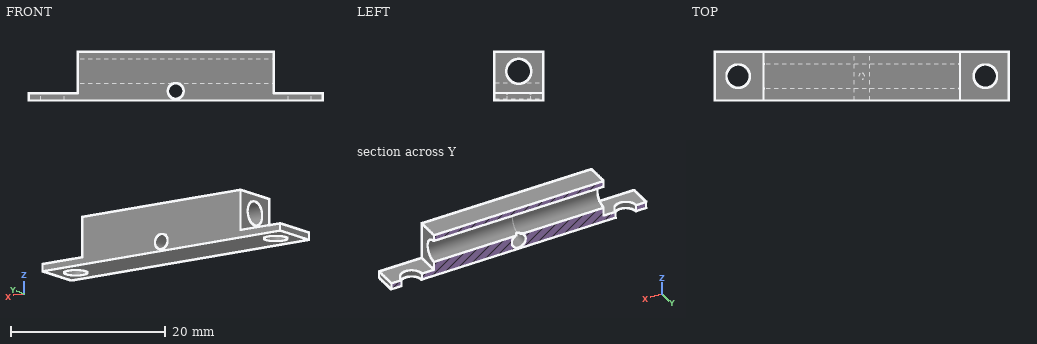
import cadquery as cq

length = 38.1
width = 6.35
height = 6.35

tab_length = 6.35
tab_thickness = 1.0
block_length = length - 2 * tab_length

mount_diameter = 3.0
mount_end_distance = 3.05
mount_spacing = length - 2 * mount_end_distance

bore_diameter = 3.2
bore_height = 3.8

cross_diameter = 2.02
cross_height = 1.25


def make_body():
    """Flat base strip with the block standing on its middle."""
    on_floor = (True, True, False)
    strip = cq.Workplane("XY").box(length, width, tab_thickness, centered=on_floor)
    block = cq.Workplane("XY").box(block_length, width, height, centered=on_floor)
    return strip.union(block)


def make_mount_holes():
    """Vertical cutters, one centred across each tab."""
    centers = [(-mount_spacing / 2, 0), (mount_spacing / 2, 0)]
    return cq.Workplane("XY").pushPoints(centers).circle(mount_diameter / 2).extrude(tab_thickness)


def make_bore():
    """Cutter along X through both end faces of the block."""
    profile = cq.Workplane("YZ").center(0, bore_height).circle(bore_diameter / 2)
    return profile.extrude(block_length / 2, both=True)


def make_cross_hole():
    """Cutter along Y through both side faces of the block."""
    profile = cq.Workplane("XZ").center(0, cross_height).circle(cross_diameter / 2)
    return profile.extrude(width / 2, both=True)


result = make_body().cut(make_mount_holes()).cut(make_bore()).cut(make_cross_hole())